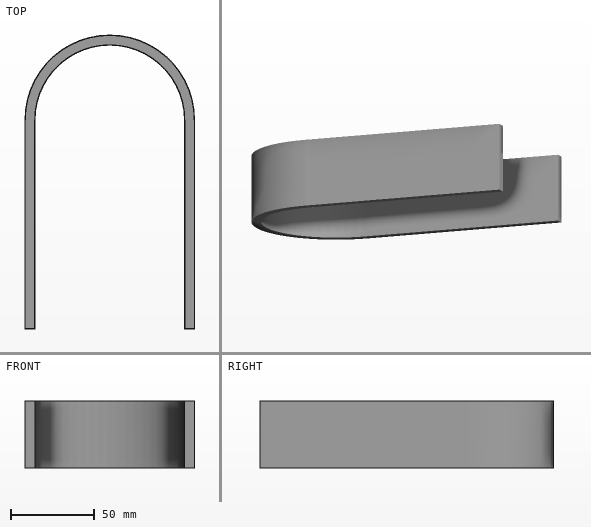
import cadquery as cq

total_length = 175.0
outer_width = 101.0
height = 40.0
wall = 6.0

outer_radius = outer_width / 2
inner_radius = outer_radius - wall
leg_length = total_length - outer_radius


def make_bend():
    """Half ring centred on the Z axis, closing the U on the +Y side."""
    return (
        cq.Workplane("XY")
        .moveTo(outer_radius, 0)
        .threePointArc((0, outer_radius), (-outer_radius, 0))
        .lineTo(-inner_radius, 0)
        .threePointArc((0, inner_radius), (inner_radius, 0))
        .close()
        .extrude(height)
    )


def make_leg(side):
    """Straight leg running toward -Y; side is -1 for left, +1 for right."""
    leg_center_x = side * (outer_radius - wall / 2)
    return (
        cq.Workplane("XY")
        .center(leg_center_x, -leg_length / 2)
        .rect(wall, leg_length)
        .extrude(height)
    )


result = make_bend()
for side in (-1, 1):
    result = result.union(make_leg(side), clean=False)